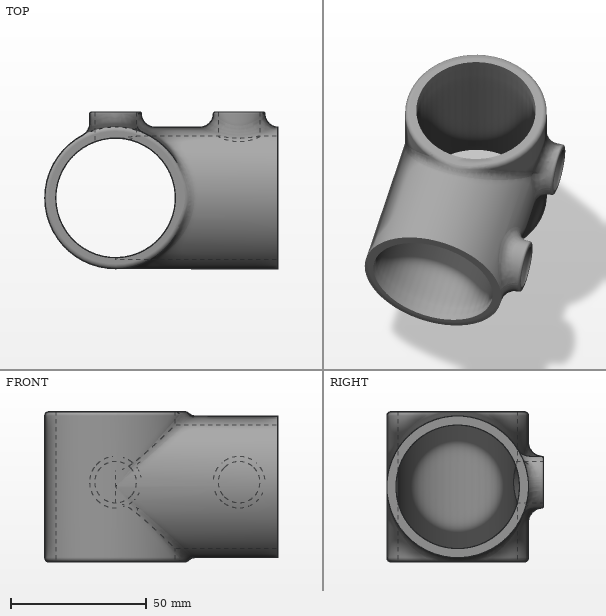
import cadquery as cq

overall_length = 86.1
outer_radius = 26.2
post_bore_radius = 22.05
arm_bore_radius = 22.8
post_height = 55.5
boss_reach = 31.8
boss_radius = 9.6
boss_lift = 1.7
end_boss_x = 45.6
screw_hole_radius = 7.7
boss_foot_fillet = 5.0
boss_rim_fillet = 0.8
crease_fillet = 3.0
crease_start_x = 0.4

arm_end_x = overall_length - outer_radius
half_height = post_height / 2
rim_fillet = half_height - outer_radius
post_boss_x = 0.0
post_seam_angle = 180


def upright_cylinder(radius, height):
    """Vertical cylinder centred on the origin, with its seam facing away from the arm."""
    cylinder = cq.Workplane("XY", origin=(0, 0, -height / 2)).circle(radius).extrude(height)
    return cylinder.rotate((0, 0, 0), (0, 0, 1), post_seam_angle)


def arm_cylinder(radius, start_x=0.0):
    """Horizontal cylinder from start_x to the open arm end."""
    plane = cq.Workplane("YZ", origin=(start_x, 0, 0))
    return plane.circle(radius).extrude(arm_end_x - start_x)


def side_cylinder(x, radius):
    """Cylinder from the mid-plane to the boss tips on the +Y side."""
    plane = cq.Workplane("XZ", origin=(x, 0, boss_lift))
    return plane.circle(radius).extrude(-boss_reach)


def beyond(x):
    """Block that keeps everything on the +X side of x."""
    size = 2 * overall_length
    return cq.Workplane("XY").box(size, size, size, centered=(False, True, True)).translate((x, 0, 0))


def add_boss(body, x):
    """Add a boss at x, rounding its tip and flaring its foot into the body."""
    boss = side_cylinder(x, boss_radius).faces(">Y").edges().fillet(boss_rim_fillet)
    foot_zone = cq.selectors.BoxSelector(
        (x - boss_radius, 0, boss_lift - boss_radius),
        (x + boss_radius, outer_radius + boss_rim_fillet, boss_lift + boss_radius),
    )
    return body.union(boss).edges(foot_zone).edges("not %LINE").fillet(boss_foot_fillet)


def crease_blend():
    """Post and arm beyond the crease start, with the crease filleted and the post rims rounded."""
    tall_post = upright_cylinder(outer_radius, overall_length)
    crossing = tall_post.union(arm_cylinder(outer_radius)).intersect(beyond(crease_start_x))
    blended = crossing.edges("%ELLIPSE").fillet(crease_fillet)
    height_limit = cq.Workplane("XY").box(2 * overall_length, overall_length, post_height)
    trimmed = blended.intersect(height_limit)
    return trimmed.faces("|Z").edges("not %LINE").fillet(rim_fillet)


post = upright_cylinder(outer_radius, post_height).faces("|Z").edges().fillet(rim_fillet)
post = add_boss(post, post_boss_x)

arm = arm_cylinder(outer_radius, start_x=-outer_radius)
for boss_x in (post_boss_x, end_boss_x):
    arm = add_boss(arm, boss_x)
arm = arm.intersect(beyond(0))

body = post.union(crease_blend()).union(arm)

body = body.cut(upright_cylinder(post_bore_radius, post_height))
body = body.cut(arm_cylinder(arm_bore_radius))

for boss_x in (post_boss_x, end_boss_x):
    body = body.cut(side_cylinder(boss_x, screw_hole_radius))

result = body